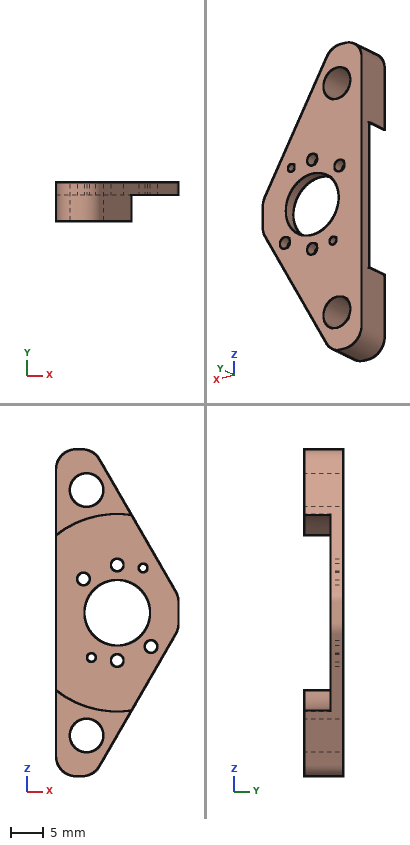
import cadquery as cq
import math

height = 50.8
thickness = 6.1
plate_thickness = 2.05
edge_distance = 9.525
slope_angle = 60.0
corner_radius = 3.15

recess_radius = 15.35
bore_diameter = 10.15
mount_diameter = 5.2
mount_x = -edge_distance / 2
mount_z = 19.05
screw_diameter = 1.95
screw_circle_radius = 7.4
screw_angles = (90, 135, 270, 315)
pin_diameter = 1.3
pin_circle_radius = 8.05
pin_angles = (60, 240)


def polar(radius, angle):
    """Point in the XZ plane at the given radius and angle about the bore axis."""
    radians = math.radians(angle)
    return (radius * math.cos(radians), radius * math.sin(radians))


def cylinder(points, diameter, depth):
    """Cylinders along Y, starting on the front face at Y = 0."""
    return cq.Workplane("XZ").pushPoints(points).circle(diameter / 2).extrude(-depth)


def slope_x(z):
    """X of the upper sloping edge, which is tangent to a circle about the bore."""
    slope = math.radians(slope_angle)
    return (edge_distance - z * math.cos(slope)) / math.sin(slope)


half_height = height / 2
slope = math.radians(slope_angle)
nose_half_height = edge_distance * (1 - math.sin(slope)) / math.cos(slope)
tip_x = slope_x(half_height)
outline = [
    (-edge_distance, -half_height),
    (tip_x, -half_height),
    (edge_distance, -nose_half_height),
    (edge_distance, nose_half_height),
    (tip_x, half_height),
    (-edge_distance, half_height),
]
body = cq.Workplane("XZ").polyline(outline).close().extrude(-thickness)
body = body.edges("|Y").fillet(corner_radius)

recess = cylinder([(0, 0)], 2 * recess_radius, thickness - plate_thickness)
body = body.cut(recess)

mount_points = [(mount_x, mount_z), (mount_x, -mount_z)]
screw_points = [polar(screw_circle_radius, angle) for angle in screw_angles]
pin_points = [polar(pin_circle_radius, angle) for angle in pin_angles]
holes = [
    ([(0, 0)], bore_diameter),
    (mount_points, mount_diameter),
    (screw_points, screw_diameter),
    (pin_points, pin_diameter),
]
for points, diameter in holes:
    body = body.cut(cylinder(points, diameter, thickness))

result = body